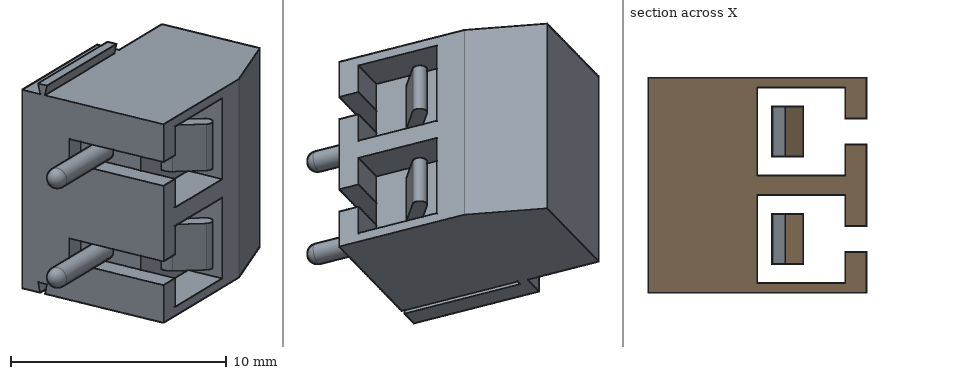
import cadquery as cq
import math


BODY_WIDTH = 7.8
BODY_DEPTH = 10.2
BODY_HEIGHT = 10.0
SHOULDER_Y = 6.5
STEP_WIDTH = 1.2
TAPER_WIDTH = 1.2

POLE_COUNT = 2
POLE_PITCH = BODY_HEIGHT / POLE_COUNT
POLE_HEIGHTS = [POLE_PITCH * (pole + 0.5) for pole in range(POLE_COUNT)]

JOINT_X = 1.13
JOINT_HEIGHT = 0.51
JOINT_WIDE = 0.5
JOINT_NARROW = 0.26
JOINT_LENGTH = 6.01

SLOT_LEFT = 2.6
SLOT_DEPTH = 1.0
SLOT_HEIGHT = 1.2

ENTRY_LEFT = 5.91
ENTRY_SIZE = 4.07

PIN_X = BODY_WIDTH / 2
PIN_RADIUS = 0.5
PIN_REACH = 3.55

CLAMP_HEIGHT = 2.34
CLAMP_ANGLE = math.radians(37)
CLAMP_PROTRUSION = 0.07
TIP_RADIUS = 0.35
TIP_X = BODY_WIDTH + CLAMP_PROTRUSION - TIP_RADIUS
TIP_Y = 4.05
CREST_RADIUS = 0.62
CREST_X = 6.1


def extruded_in_z(outline, z_center, height):
    """Closed XY outline made into a solid that is centred on z_center."""
    return outline.extrude(height / 2, both=True).translate((0, 0, z_center))


def dovetail(z_base):
    """Bar along Y that widens upwards from z_base."""
    return (
        cq.Workplane("XZ")
        .moveTo(JOINT_X - JOINT_NARROW / 2, z_base)
        .lineTo(JOINT_X + JOINT_NARROW / 2, z_base)
        .lineTo(JOINT_X + JOINT_WIDE / 2, z_base + JOINT_HEIGHT)
        .lineTo(JOINT_X - JOINT_WIDE / 2, z_base + JOINT_HEIGHT)
        .close()
        .extrude(-JOINT_LENGTH)
    )


def open_pocket(left, front, depth, height, z_center):
    """Rectangular pocket that runs out through the +X face."""
    outline = cq.Workplane("XY").moveTo(left, front).rect(BODY_WIDTH - left, depth, centered=False)
    return extruded_in_z(outline, z_center, height)


def make_housing():
    housing = (
        cq.Workplane("XY")
        .lineTo(BODY_WIDTH, 0)
        .lineTo(BODY_WIDTH, SHOULDER_Y)
        .lineTo(BODY_WIDTH - TAPER_WIDTH, BODY_DEPTH)
        .lineTo(STEP_WIDTH, BODY_DEPTH)
        .lineTo(STEP_WIDTH, SHOULDER_Y)
        .lineTo(0, SHOULDER_Y)
        .close()
        .extrude(BODY_HEIGHT)
    )
    housing = housing.union(dovetail(BODY_HEIGHT)).cut(dovetail(0))
    for z in POLE_HEIGHTS:
        slot = open_pocket(SLOT_LEFT, 0, SLOT_DEPTH, SLOT_HEIGHT, z)
        entry = open_pocket(ENTRY_LEFT, SLOT_DEPTH, ENTRY_SIZE, ENTRY_SIZE, z)
        housing = housing.cut(slot).cut(entry)
    return housing


def make_pin(z):
    """Round pin along Y with a hemispherical tip."""
    half_profile = (
        cq.Workplane("YZ")
        .moveTo(SLOT_DEPTH, 0)
        .lineTo(SLOT_DEPTH, PIN_RADIUS)
        .lineTo(PIN_RADIUS - PIN_REACH, PIN_RADIUS)
        .radiusArc((-PIN_REACH, 0), -PIN_RADIUS)
        .close()
    )
    return half_profile.revolve(360, (0, 0, 0), (1, 0, 0)).translate((PIN_X, 0, z))


def make_clamp(z):
    """Strip that leaves the end wall of the wire entry, bends over a crest and ends in a round tip."""
    sine = math.sin(CLAMP_ANGLE)
    cosine = math.cos(CLAMP_ANGLE)
    slope = math.tan(CLAMP_ANGLE)

    tip_front = (TIP_X + TIP_RADIUS * sine, TIP_Y - TIP_RADIUS * cosine)
    tip_end = (TIP_X + TIP_RADIUS * cosine, TIP_Y + TIP_RADIUS * sine)
    tip_back = (TIP_X - TIP_RADIUS * sine, TIP_Y + TIP_RADIUS * cosine)
    crest_end_x = CREST_X + CREST_RADIUS * sine
    crest_end_y = tip_front[1] - (tip_front[0] - crest_end_x) * slope
    crest_y = crest_end_y + CREST_RADIUS * cosine
    crest_start_y = crest_y - math.sqrt(CREST_RADIUS**2 - (CREST_X - ENTRY_LEFT) ** 2)
    back_start_y = tip_back[1] - (tip_back[0] - ENTRY_LEFT) * slope

    outline = (
        cq.Workplane("XY")
        .moveTo(ENTRY_LEFT, crest_start_y)
        .threePointArc((CREST_X, crest_y - CREST_RADIUS), (crest_end_x, crest_end_y))
        .lineTo(*tip_front)
        .threePointArc(tip_end, tip_back)
        .lineTo(ENTRY_LEFT, back_start_y)
        .close()
    )
    return extruded_in_z(outline, z, CLAMP_HEIGHT)


housing = make_housing()
pins = [make_pin(z) for z in POLE_HEIGHTS]
clamps = [make_clamp(z) for z in POLE_HEIGHTS]

result = cq.Compound.makeCompound([
    housing.val(),
    *[pin.val() for pin in pins],
    *[clamp.val() for clamp in clamps],
])